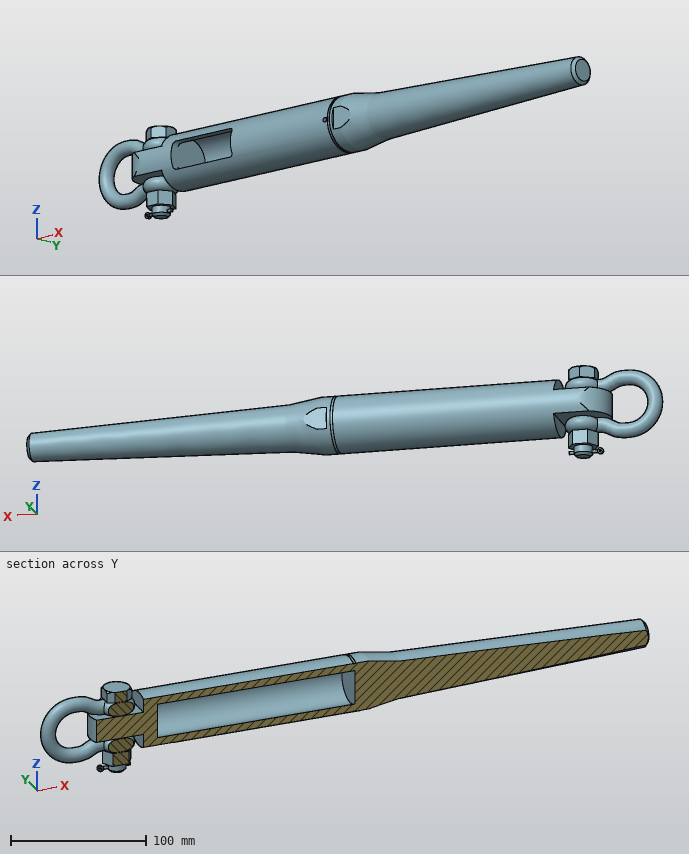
import cadquery as cq
import math


overall_length = 483.0
body_diameter = 43.0
pin_x = 60.5
shoulder_x = 78.2
tongue_thickness = 18.5
collar_end_x = 258.5
cone_end_x = 283.0
cone_end_diameter = 35.3
tip_diameter = 21.3
tip_chamfer = 2.5

window_start_x = 90.0
window_length = 59.5
window_height = 21.5
window_corner_radius = 3.0
bore_diameter = 32.0

groove_x = 247.5
groove_width = 2.0
groove_depth = 0.25
lock_hole_x = 244.0
lock_hole_diameter = 3.5
lock_hole_depth = 5.0
flat_start_x = 251.0
flat_width = 16.5

wire_diameter = 11.0
bow_radius = 20.5
bow_straight = 4.5
ear_diameter = 27.0
leg_end_x = 47.5
bolt_diameter = 14.0
bolt_end_z = -38.0
bolt_end_chamfer = 2.0
hex_across_flats = 20.0
head_top_z = 29.0
head_chamfer = 1.5
nut_height = 10.5
cotter_diameter = 2.5
cotter_z = -35.0
cotter_tail = 10.5
cotter_eye_x = 47.5
cotter_eye_diameter = 4.5
cotter_eye_hole = 1.5

body_radius = body_diameter / 2
tip_radius = tip_diameter / 2
bow_centre_x = bow_radius + wire_diameter / 2
ear_z = tongue_thickness / 2 + wire_diameter / 2
ear_outer_z = tongue_thickness / 2 + wire_diameter
hex_across_corners = hex_across_flats / math.cos(math.radians(30))
flat_offset = math.sqrt(body_radius**2 - (flat_width / 2) ** 2)


def turned_profile():
    """Housing turned about the X axis, from the tongue end to the chamfered tip."""
    return (
        cq.Workplane("XY")
        .moveTo(pin_x - body_radius, 0)
        .lineTo(pin_x - body_radius, body_radius)
        .lineTo(collar_end_x, body_radius)
        .lineTo(cone_end_x, cone_end_diameter / 2)
        .lineTo(overall_length - tip_chamfer, tip_radius)
        .lineTo(overall_length, tip_radius - tip_chamfer)
        .lineTo(overall_length, 0)
        .close()
        .revolve(360, (0, 0, 0), (1, 0, 0))
    )


def cut_tongue(body):
    """Leave a flat tongue with a rounded end and a bolt hole."""
    tongue = (
        cq.Workplane("XY")
        .box(shoulder_x - pin_x, body_diameter, tongue_thickness, centered=(False, True, True))
        .translate((pin_x, 0, 0))
    )
    rounded_end = cq.Workplane("XY").center(pin_x, 0).circle(body_radius).extrude(tongue_thickness / 2, both=True)
    bolt_hole = cq.Workplane("XY").center(pin_x, 0).circle(bolt_diameter / 2).extrude(tongue_thickness, both=True)
    end_zone = cq.Workplane("XY").box(2 * shoulder_x, 2 * body_diameter, 2 * body_diameter)
    return body.cut(end_zone.cut(tongue).cut(rounded_end)).cut(bolt_hole)


def cut_window(body):
    """Closed bore up to the ring groove, opened by a rounded window on the -Y side."""
    window = (
        cq.Workplane("XZ")
        .center(window_start_x + window_length / 2, 0)
        .rect(window_length, window_height)
        .extrude(body_diameter)
        .edges("|Y")
        .fillet(window_corner_radius)
    )
    bore_start = cq.Plane(origin=(window_start_x, 0, 0), xDir=(0, -1, 0), normal=(1, 0, 0))
    bore = cq.Workplane(bore_start).circle(bore_diameter / 2).extrude(groove_x - window_start_x)
    return body.cut(window).cut(bore)


def cut_collar_details(body):
    """Ring groove, locking hole beside it and two opposite wrench flats."""
    groove = (
        cq.Workplane("YZ", origin=(groove_x - groove_width / 2, 0, 0))
        .circle(body_diameter)
        .circle(body_radius - groove_depth)
        .extrude(groove_width)
    )
    lock_hole = (
        cq.Workplane("XZ", origin=(lock_hole_x, -body_radius + lock_hole_depth, 0))
        .circle(lock_hole_diameter / 2)
        .extrude(body_radius)
    )
    body = body.cut(groove).cut(lock_hole)
    flat_length = cone_end_x - flat_start_x
    for side in (-1, 1):
        flat = (
            cq.Workplane("XY")
            .box(flat_length, body_radius, body_diameter, centered=(False, True, True))
            .translate((flat_start_x, side * (flat_offset + body_radius / 2), 0))
        )
        body = body.cut(flat)
    return body


def make_housing():
    return cut_collar_details(cut_window(cut_tongue(turned_profile())))


def make_bow():
    """Round wire bent into a bow whose two legs close in on the ears."""
    leg_start_x = bow_centre_x + bow_straight
    path = (
        cq.Workplane("XZ")
        .moveTo(pin_x, ear_z)
        .lineTo(leg_end_x, ear_z)
        .spline([(leg_start_x, bow_radius)], tangents=[(-1, 0), (-1, 0)], includeCurrent=True)
        .lineTo(bow_centre_x, bow_radius)
        .threePointArc((bow_centre_x - bow_radius, 0), (bow_centre_x, -bow_radius))
        .lineTo(leg_start_x, -bow_radius)
        .spline([(leg_end_x, -ear_z)], tangents=[(1, 0), (1, 0)], includeCurrent=True)
        .lineTo(pin_x, -ear_z)
    )
    return cq.Workplane("YZ", origin=(pin_x, 0, ear_z)).circle(wire_diameter / 2).sweep(path)


def make_ear(centre_z):
    """Disc around the bolt, as thick as the wire and with a fully rounded rim."""
    rim_radius = wire_diameter / 2
    rim_start = ear_diameter / 2 - rim_radius
    return (
        cq.Workplane("XZ", origin=(pin_x, 0, centre_z))
        .moveTo(0, -rim_radius)
        .lineTo(rim_start, -rim_radius)
        .threePointArc((ear_diameter / 2, 0), (rim_start, rim_radius))
        .lineTo(0, rim_radius)
        .close()
        .revolve(360, (0, 0, 0), (0, 1, 0))
    )


def make_bolt():
    """Hexagon head above, shank through the ears and tongue."""
    head_height = head_top_z - ear_outer_z
    head = (
        cq.Workplane("XY", origin=(pin_x, 0, ear_outer_z))
        .polygon(6, hex_across_corners)
        .extrude(head_height)
        .rotate((pin_x, 0, 0), (pin_x, 0, 1), 90)
    )
    head_envelope = (
        cq.Workplane("XY", origin=(pin_x, 0, ear_outer_z))
        .circle(hex_across_corners / 2)
        .extrude(head_height)
        .faces(">Z")
        .chamfer(head_chamfer)
    )
    shank = (
        cq.Workplane("XY", origin=(pin_x, 0, bolt_end_z))
        .circle(bolt_diameter / 2)
        .extrude(ear_outer_z - bolt_end_z)
        .faces("<Z")
        .chamfer(bolt_end_chamfer)
    )
    return shank.union(head.intersect(head_envelope))


def make_nut():
    return (
        cq.Workplane("XY", origin=(pin_x, 0, -ear_outer_z))
        .polygon(6, hex_across_corners)
        .extrude(-nut_height)
    )


def make_cotter():
    """Cross pin through the bolt end, with an eye on the bow side."""
    rod_start_x = cotter_eye_x + cotter_eye_diameter / 2 - cotter_diameter / 2
    rod = (
        cq.Workplane("YZ", origin=(rod_start_x, 0, cotter_z))
        .circle(cotter_diameter / 2)
        .extrude(pin_x + cotter_tail - rod_start_x)
    )
    eye = (
        cq.Workplane("XZ", origin=(cotter_eye_x, 0, cotter_z))
        .circle(cotter_eye_diameter / 2)
        .extrude(cotter_diameter / 2, both=True)
    )
    eye_hole = (
        cq.Workplane("XZ", origin=(cotter_eye_x, 0, cotter_z))
        .circle(cotter_eye_hole / 2)
        .extrude(cotter_diameter, both=True)
    )
    return rod.union(eye).cut(eye_hole)


def make_shackle():
    """Bow, ears, bolt, nut and cotter pin as one body."""
    shackle = make_bolt().union(make_nut()).union(make_cotter())
    for side in (-1, 1):
        shackle = shackle.union(make_ear(side * ear_z))
    return shackle.union(make_bow())


housing = make_housing()
shackle = make_shackle()
result = cq.Compound.makeCompound([housing.val(), shackle.val()])